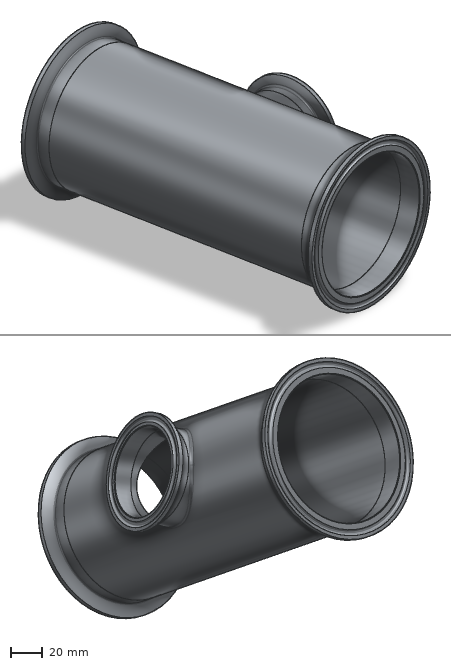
import cadquery as cq
import math

RUN_LENGTH = 241.5
RUN_OUTER_DIAMETER = 101.6
BRANCH_OUTER_DIAMETER = 63.5
BRANCH_REACH = 66.6
WALL = 2.0
RUN_FLANGE_DIAMETER = 119.0
BRANCH_FLANGE_DIAMETER = 77.5

RUN_FERRULE_LENGTH = 16.0
BRANCH_FERRULE_LENGTH = 13.0
LIP_THICKNESS = 3.1
BACK_ANGLE = 20.0
RUN_NECK_FILLET = 1.0
BRANCH_NECK_FILLET = 2.0

GROOVE_INSET = 2.5
GROOVE_WIDTH = 3.9
GROOVE_DEPTH = 1.5

MOUTH_BEVEL = 0.5

WELD_RADIUS = 1.7

RUN_RADIUS = RUN_OUTER_DIAMETER / 2
BRANCH_RADIUS = BRANCH_OUTER_DIAMETER / 2
RUN_BORE_RADIUS = RUN_RADIUS - WALL
BRANCH_BORE_RADIUS = BRANCH_RADIUS - WALL


def ferrule(outer_diameter, flange_diameter, length, neck_fillet):
    """Ferrule on the Z axis, clamp face at Z = 0, pipe end at Z = length."""
    neck_radius = outer_diameter / 2
    rim_radius = flange_diameter / 2
    bore_radius = neck_radius - WALL
    slope_angle = math.radians(BACK_ANGLE)
    back_depth = LIP_THICKNESS + (rim_radius - neck_radius) * math.tan(slope_angle)
    fillet_tangent = neck_fillet * math.tan(math.radians(90 - BACK_ANGLE) / 2)
    fillet_end = back_depth + fillet_tangent
    fillet_center = (neck_radius + neck_fillet, fillet_end)
    slope_end = (
        neck_radius + fillet_tangent * math.cos(slope_angle),
        back_depth - fillet_tangent * math.sin(slope_angle),
    )
    middle_angle = math.radians((90 - BACK_ANGLE) / 2)
    fillet_middle = (
        fillet_center[0] - neck_fillet * math.cos(middle_angle),
        fillet_center[1] - neck_fillet * math.sin(middle_angle),
    )
    groove_outer = rim_radius - GROOVE_INSET
    groove_inner = groove_outer - GROOVE_WIDTH
    groove_middle = groove_outer - GROOVE_WIDTH / 2
    return (
        cq.Workplane("XZ")
        .moveTo(bore_radius, MOUTH_BEVEL)
        .lineTo(bore_radius + MOUTH_BEVEL, 0)
        .lineTo(groove_inner, 0)
        .threePointArc((groove_middle, GROOVE_DEPTH), (groove_outer, 0))
        .lineTo(rim_radius, 0)
        .lineTo(rim_radius, LIP_THICKNESS)
        .lineTo(*slope_end)
        .threePointArc(fillet_middle, (neck_radius, fillet_end))
        .lineTo(neck_radius, length)
        .lineTo(bore_radius, length)
        .close()
        .revolve(360, (0, 0, 0), (0, 1, 0))
    )


def run_cylinder(radius, length):
    return cq.Workplane("YZ").circle(radius).extrude(length / 2, both=True)


def branch_cylinder(radius, reach):
    return cq.Workplane("XZ").circle(radius).extrude(-reach)


def tee_body():
    """Run tube with the branch stub, both bored through to each other."""
    run_length = RUN_LENGTH - 2 * RUN_FERRULE_LENGTH
    stub_reach = BRANCH_REACH - BRANCH_FERRULE_LENGTH
    outside = run_cylinder(RUN_RADIUS, run_length).union(branch_cylinder(BRANCH_RADIUS, stub_reach))
    seam_box = cq.selectors.BoxSelector(
        (-RUN_RADIUS, 0, -RUN_RADIUS), (RUN_RADIUS, RUN_RADIUS + WALL, RUN_RADIUS), boundingbox=True
    )
    outside = outside.edges(seam_box).fillet(WELD_RADIUS)
    return (
        outside
        .cut(run_cylinder(RUN_BORE_RADIUS, run_length))
        .cut(branch_cylinder(BRANCH_BORE_RADIUS, stub_reach))
    )


tee = tee_body()

run_ferrules = []
for side in (-1, 1):
    body = ferrule(RUN_OUTER_DIAMETER, RUN_FLANGE_DIAMETER, RUN_FERRULE_LENGTH, RUN_NECK_FILLET)
    body = body.rotate((0, 0, 0), (0, 1, 0), -side * 90)
    run_ferrules.append(body.translate((side * RUN_LENGTH / 2, 0, 0)))

branch_ferrule = (
    ferrule(BRANCH_OUTER_DIAMETER, BRANCH_FLANGE_DIAMETER, BRANCH_FERRULE_LENGTH, BRANCH_NECK_FILLET)
    .rotate((0, 0, 0), (1, 0, 0), 90)
    .translate((0, BRANCH_REACH, 0))
)

result = cq.Compound.makeCompound([
    tee.val(),
    *[body.val() for body in run_ferrules],
    branch_ferrule.val(),
])